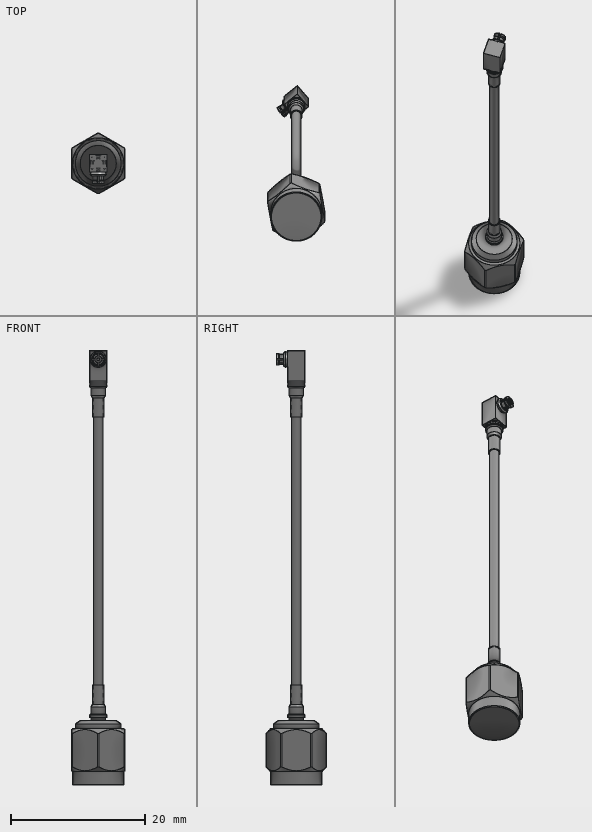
import cadquery as cq
import math

CABLE_DIAMETER = 1.4
SLEEVE_DIAMETER = 1.75
SLEEVE_LENGTH = 2.85

FERRULE_DIAMETER = 2.2
FERRULE_TAPER_LENGTH = 0.6
FLANGE_DIAMETER = 2.6
FLANGE_CONE_LENGTH = 0.3

SKIRT_DIAMETER = 7.65
SKIRT_CHAMFER = 0.1
NUT_ACROSS_FLATS = 7.9
NUT_CORNER_DIAMETER = 9.0
NUT_CHAMFER_DIAMETER = 7.65
NUT_CHAMFER_HEIGHT = 0.7
COLLAR_DIAMETER = 6.8
COLLAR_TOP_DIAMETER = 5.4
NUT_BOTTOM = 2.0
NUT_TOP = 8.4
COLLAR_CHAMFER_BOTTOM = 9.15
COLLAR_TOP = 9.65
FLANGE_BOTTOM = 10.1
FLANGE_TOP = 10.45
STRAIGHT_FERRULE_END = 12.05

TOTAL_HEIGHT = 64.85
BLOCK_WIDTH = FLANGE_DIAMETER
BLOCK_BOTTOM = 60.3
SHOULDER_BOTTOM = 59.45
GROOVE_DIAMETER = 2.5
GROOVE_TOP = 60.05
GROOVE_BOTTOM = 59.7
ANGLE_FERRULE_END = 57.8

PLUG_AXIS_HEIGHT = 63.55
PLUG_LENGTH = 1.7
PLUG_BASE_DIAMETER = 2.15
PLUG_FLANGE_DIAMETER = 2.4
PLUG_FLANGE_RIM = 0.3
PLUG_FLANGE_END = 0.6
PLUG_FACE_DIAMETER = 1.95
PLUG_NECK_DIAMETER = 1.55
PLUG_NECK_END = 1.15
PLUG_RIM_START = 1.35
PLUG_RIM_DIAMETER = 1.75
PLUG_BORE_DIAMETER = 1.05
PLUG_SLOT_WIDTH = 0.25
CONTACT_DIAMETER = 0.4


def cylinder(diameter, bottom, top):
    """Cylinder on the Z axis between two heights."""
    return cq.Workplane("XY").workplane(offset=bottom).circle(diameter / 2).extrude(top - bottom)


def revolved(profile):
    """Solid of revolution about Z from (radius, height) points that start and end on the axis."""
    return cq.Workplane("XZ").polyline(profile).close().revolve(360, (0, 0), (0, 1))


def make_ferrule(base, flange_face, end):
    """Flange from the base to its face, then a ferrule tapering to the sleeve size at the end height."""
    direction = 0.65 if end > base else -0.65
    return revolved([
        (0, base),
        (FLANGE_DIAMETER / 2, base),
        (FLANGE_DIAMETER / 2, flange_face),
        (FERRULE_DIAMETER / 2, flange_face + direction * FLANGE_CONE_LENGTH),
        (FERRULE_DIAMETER / 2, end - direction * FERRULE_TAPER_LENGTH),
        (SLEEVE_DIAMETER / 2, end),
        (0, end),
    ])


def make_nut():
    """Hexagonal nut with its corners turned down and both ends chamfered by a cone."""
    circumscribed = NUT_ACROSS_FLATS / math.cos(math.radians(30))
    hexagon = (
        cq.Workplane("XY")
        .workplane(offset=NUT_BOTTOM)
        .transformed(rotate=(0, 0, 90))
        .polygon(6, circumscribed)
        .extrude(NUT_TOP - NUT_BOTTOM)
    )
    corner_radius = NUT_CORNER_DIAMETER / 2
    end_radius = NUT_CHAMFER_DIAMETER / 2
    envelope = revolved([
        (0, NUT_BOTTOM),
        (end_radius, NUT_BOTTOM),
        (corner_radius, NUT_BOTTOM + NUT_CHAMFER_HEIGHT),
        (corner_radius, NUT_TOP - NUT_CHAMFER_HEIGHT),
        (end_radius, NUT_TOP),
        (0, NUT_TOP),
    ])
    return hexagon.intersect(envelope)


def make_straight_connector():
    """Straight connector at the bottom end of the cable."""
    skirt = cylinder(SKIRT_DIAMETER, 0, NUT_BOTTOM).faces("<Z").chamfer(SKIRT_CHAMFER)
    collar = revolved([
        (0, NUT_TOP),
        (COLLAR_DIAMETER / 2, NUT_TOP),
        (COLLAR_DIAMETER / 2, COLLAR_CHAMFER_BOTTOM),
        (COLLAR_TOP_DIAMETER / 2, COLLAR_TOP),
        (0, COLLAR_TOP),
    ])
    neck = cylinder(FERRULE_DIAMETER, COLLAR_TOP, FLANGE_BOTTOM)
    ferrule = make_ferrule(FLANGE_BOTTOM, FLANGE_TOP, STRAIGHT_FERRULE_END)
    return make_nut().union(skirt).union(collar).union(neck).union(ferrule)


def make_plug():
    """Flanged plug with a flared, four-way slotted tube around a contact pin, pointing toward -Y."""
    body = revolved([
        (0, 0),
        (PLUG_BASE_DIAMETER / 2, 0),
        (PLUG_FLANGE_DIAMETER / 2, PLUG_FLANGE_RIM),
        (PLUG_FACE_DIAMETER / 2, PLUG_FLANGE_END),
        (PLUG_NECK_DIAMETER / 2, PLUG_FLANGE_END),
        (PLUG_NECK_DIAMETER / 2, PLUG_NECK_END),
        (PLUG_RIM_DIAMETER / 2, PLUG_RIM_START),
        (PLUG_RIM_DIAMETER / 2, PLUG_LENGTH),
        (0, PLUG_LENGTH),
    ])
    body = body.cut(cylinder(PLUG_BORE_DIAMETER, PLUG_FLANGE_END, PLUG_LENGTH))
    tube_length = PLUG_LENGTH - PLUG_FLANGE_END
    slot = (
        cq.Workplane("XY")
        .workplane(offset=PLUG_FLANGE_END)
        .rect(PLUG_RIM_DIAMETER, PLUG_SLOT_WIDTH)
        .extrude(tube_length)
    )
    for angle in (0, 90):
        body = body.cut(slot.rotate((0, 0, 0), (0, 0, 1), angle))
    plug = body.union(cylinder(CONTACT_DIAMETER, 0, PLUG_LENGTH))
    return plug.rotate((0, 0, 0), (1, 0, 0), 90).translate((0, -BLOCK_WIDTH / 2, PLUG_AXIS_HEIGHT))


def make_angle_connector():
    """Right-angle connector at the top end of the cable."""
    block_height = TOTAL_HEIGHT - BLOCK_BOTTOM
    block = cq.Workplane("XY").box(BLOCK_WIDTH, BLOCK_WIDTH, block_height, centered=(True, True, False))
    block = block.translate((0, 0, BLOCK_BOTTOM))
    ferrule = make_ferrule(BLOCK_BOTTOM, SHOULDER_BOTTOM, ANGLE_FERRULE_END)
    groove = cylinder(FLANGE_DIAMETER, GROOVE_BOTTOM, GROOVE_TOP)
    groove = groove.cut(cylinder(GROOVE_DIAMETER, GROOVE_BOTTOM, GROOVE_TOP))
    ferrule = ferrule.cut(groove)
    return block.union(ferrule).union(make_plug())


def make_sleeve(bottom):
    """Tube around the cable, standing on the given height."""
    top = bottom + SLEEVE_LENGTH
    return cylinder(SLEEVE_DIAMETER, bottom, top).cut(cylinder(CABLE_DIAMETER, bottom, top))


cable = cylinder(CABLE_DIAMETER, STRAIGHT_FERRULE_END, ANGLE_FERRULE_END)
sleeve_bottoms = (STRAIGHT_FERRULE_END, ANGLE_FERRULE_END - SLEEVE_LENGTH)
sleeves = [make_sleeve(bottom) for bottom in sleeve_bottoms]
straight_connector = make_straight_connector()
angle_connector = make_angle_connector()

result = cq.Compound.makeCompound([
    cable.val(),
    *[sleeve.val() for sleeve in sleeves],
    straight_connector.val(),
    angle_connector.val(),
])